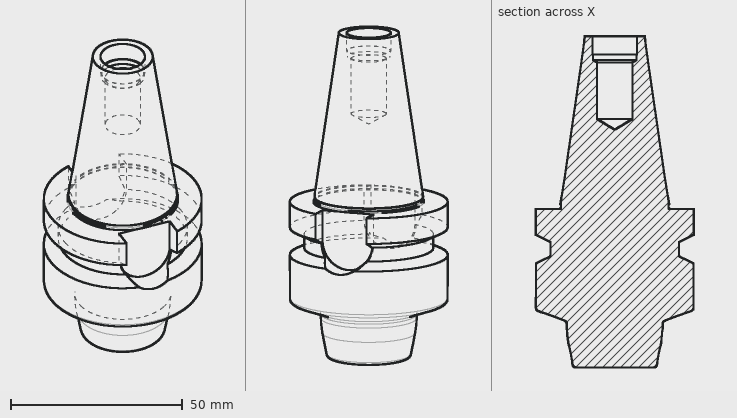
import cadquery as cq
import math

TOTAL_HEIGHT = 96.4
FLANGE_RADIUS = 46.0 / 2

NOSE_RADIUS = 28.0 / 2
NOSE_CONE_ANGLE = math.radians(11)
NOSE_EDGE_FILLET = 1.2
NOSE_CONE_TOP = 7.2
NOSE_BLEND_TOP = 11.6

UNDERSIDE_ANGLE = math.radians(20)
UNDERSIDE_TOP = 16.7
NECK_FILLET = 1.0
RIM_FILLET = 1.2

GROOVE_RADIUS = 18.8
GROOVE_FLANK_ANGLE = math.radians(64)
GROOVE_RIM_BOTTOM = 30.4
GROOVE_RIM_TOP = 38.6
FLANGE_TOP = 46.2

TAPER_RADIUS = 31.7 / 2
TAPER_SLOPE = 7 / 24 / 2
TAPER_BOTTOM = 47.6
RELIEF_RADIUS = 31.3 / 2
RELIEF_TOP = 47.4
RELIEF_FILLET = 0.5

SLOT_WIDTH = 16.0
SLOT_BOTTOM = 29.0
SLOT_FLOOR_X = 16.0

MOUTH_DIAMETER = 12.9
MOUTH_DEPTH = 5.3
PILOT_DIAMETER = 12.5
PILOT_DEPTH = 6.9
SEAT_ANGLE = math.radians(120)
TAP_DIAMETER = 10.2
TAP_DEPTH = 24.1
DRILL_TIP_ANGLE = math.radians(118)


def make_body():
    """Revolve the outer outline about Z and round its convex and concave corners."""
    blend_radius = (NOSE_BLEND_TOP - NOSE_CONE_TOP) / math.sin(NOSE_CONE_ANGLE)
    blend_centre = NOSE_RADIUS - blend_radius
    half_angle = NOSE_CONE_ANGLE / 2
    blend_mid = (
        blend_centre + blend_radius * math.cos(half_angle),
        NOSE_BLEND_TOP - blend_radius * math.sin(half_angle),
    )
    cone_top_radius = blend_centre + blend_radius * math.cos(NOSE_CONE_ANGLE)
    cone_bottom_radius = cone_top_radius - NOSE_CONE_TOP * math.tan(NOSE_CONE_ANGLE)

    neck_z = UNDERSIDE_TOP - (FLANGE_RADIUS - NOSE_RADIUS) * math.tan(UNDERSIDE_ANGLE)
    flank_height = (FLANGE_RADIUS - GROOVE_RADIUS) / math.tan(GROOVE_FLANK_ANGLE)
    taper_top_radius = TAPER_RADIUS - (TOTAL_HEIGHT - TAPER_BOTTOM) * TAPER_SLOPE

    body = (
        cq.Workplane("XZ")
        .moveTo(0, 0)
        .lineTo(cone_bottom_radius, 0)
        .lineTo(cone_top_radius, NOSE_CONE_TOP)
        .threePointArc(blend_mid, (NOSE_RADIUS, NOSE_BLEND_TOP))
        .lineTo(NOSE_RADIUS, neck_z)
        .lineTo(FLANGE_RADIUS, UNDERSIDE_TOP)
        .lineTo(FLANGE_RADIUS, GROOVE_RIM_BOTTOM)
        .lineTo(GROOVE_RADIUS, GROOVE_RIM_BOTTOM + flank_height)
        .lineTo(GROOVE_RADIUS, GROOVE_RIM_TOP - flank_height)
        .lineTo(FLANGE_RADIUS, GROOVE_RIM_TOP)
        .lineTo(FLANGE_RADIUS, FLANGE_TOP)
        .lineTo(RELIEF_RADIUS, FLANGE_TOP)
        .lineTo(RELIEF_RADIUS, RELIEF_TOP)
        .lineTo(TAPER_RADIUS, TAPER_BOTTOM)
        .lineTo(taper_top_radius, TOTAL_HEIGHT)
        .lineTo(0, TOTAL_HEIGHT)
        .close()
        .revolve(360, (0, 0, 0), (0, 1, 0))
    )
    body = body.faces("<Z").edges().fillet(NOSE_EDGE_FILLET)
    body = round_circle(body, NOSE_RADIUS, neck_z, NECK_FILLET)
    body = round_circle(body, RELIEF_RADIUS, FLANGE_TOP, RELIEF_FILLET)
    return round_circle(body, FLANGE_RADIUS, UNDERSIDE_TOP, RIM_FILLET)


def round_circle(body, radius, height, fillet_radius):
    """Fillet the circular edge of the given radius and height."""
    margin = 0.1
    reach = radius + margin
    corner = (reach, reach, height + margin)
    opposite = (-reach, -reach, height - margin)
    edge = body.edges(cq.selectors.BoxSelector(corner, opposite, boundingbox=True))
    return edge.fillet(fillet_radius)


def make_drive_slot(side):
    """Round-bottomed slot cutter running outward along X from the flat slot floor."""
    half_width = SLOT_WIDTH / 2
    arc_centre = SLOT_BOTTOM + half_width
    length = FLANGE_RADIUS - SLOT_FLOOR_X
    return (
        cq.Workplane("YZ", origin=(side * SLOT_FLOOR_X, 0, 0))
        .moveTo(-half_width, FLANGE_TOP)
        .lineTo(-half_width, arc_centre)
        .threePointArc((0, SLOT_BOTTOM), (half_width, arc_centre))
        .lineTo(half_width, FLANGE_TOP)
        .close()
        .extrude(side * length)
    )


def make_bore():
    """Stepped blind bore with a conical seat and drill tip."""
    mouth_bottom = TOTAL_HEIGHT - MOUTH_DEPTH
    pilot_bottom = TOTAL_HEIGHT - PILOT_DEPTH
    seat_height = (PILOT_DIAMETER - TAP_DIAMETER) / 2 / math.tan(SEAT_ANGLE / 2)
    tap_bottom = TOTAL_HEIGHT - TAP_DEPTH
    tip_z = tap_bottom - TAP_DIAMETER / 2 / math.tan(DRILL_TIP_ANGLE / 2)
    return (
        cq.Workplane("XZ")
        .moveTo(0, TOTAL_HEIGHT)
        .lineTo(MOUTH_DIAMETER / 2, TOTAL_HEIGHT)
        .lineTo(MOUTH_DIAMETER / 2, mouth_bottom)
        .lineTo(PILOT_DIAMETER / 2, mouth_bottom)
        .lineTo(PILOT_DIAMETER / 2, pilot_bottom)
        .lineTo(TAP_DIAMETER / 2, pilot_bottom - seat_height)
        .lineTo(TAP_DIAMETER / 2, tap_bottom)
        .lineTo(0, tip_z)
        .close()
        .revolve(360, (0, 0, 0), (0, 1, 0))
    )


result = make_body().cut(make_bore())
for side in (-1, 1):
    result = result.cut(make_drive_slot(side))